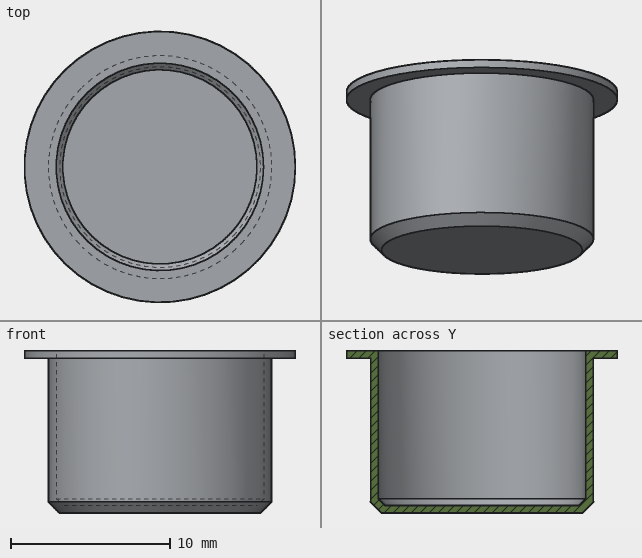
import cadquery as cq
import math

overall_height = 10.2
flange_diameter = 17.0
body_diameter = 14.0
wall = 0.5
chamfer_slant = 1.0

flange_radius = flange_diameter / 2
body_radius = body_diameter / 2
bore_radius = body_radius - wall
flange_underside = overall_height - wall
outer_chamfer = chamfer_slant / math.sqrt(2)
inner_chamfer = outer_chamfer - wall * (2 - math.sqrt(2))


def make_cap():
    """Revolve the half section of the flanged cup about the Z axis; bottom face at Z = 0."""
    half_section = (
        cq.Workplane("XZ")
        .moveTo(0, 0)
        .lineTo(body_radius - outer_chamfer, 0)
        .lineTo(body_radius, outer_chamfer)
        .lineTo(body_radius, flange_underside)
        .lineTo(flange_radius, flange_underside)
        .lineTo(flange_radius, overall_height)
        .lineTo(bore_radius, overall_height)
        .lineTo(bore_radius, wall + inner_chamfer)
        .lineTo(bore_radius - inner_chamfer, wall)
        .lineTo(0, wall)
        .close()
    )
    return half_section.revolve(360, (0, 0), (0, 1))


result = make_cap()